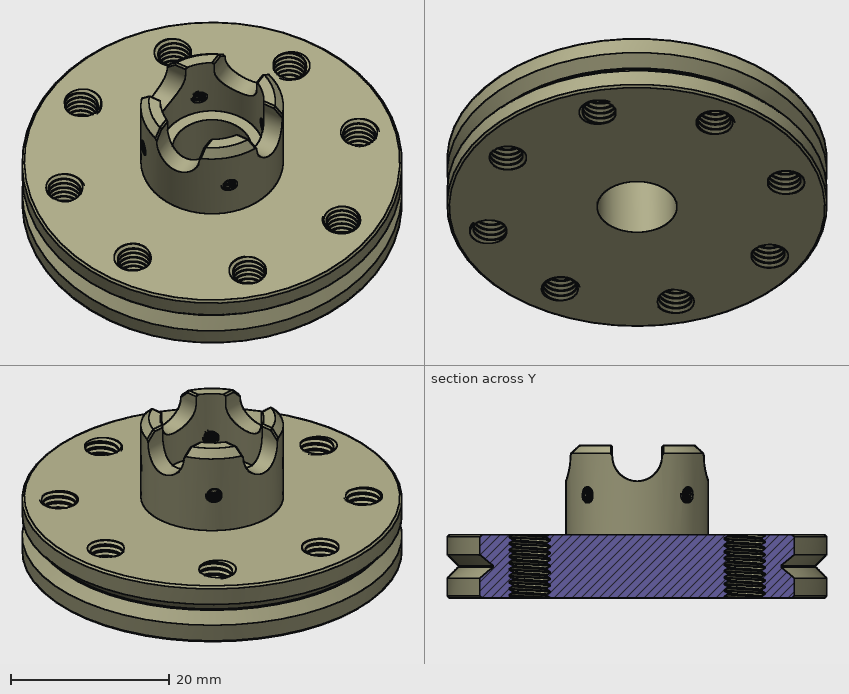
import cadquery as cq
import math

flange_diameter = 48.0
flange_thickness = 8.0
flange_edge_break = 0.3
groove_width = 3.0
groove_floor_width = 0.2
groove_depth = (groove_width - groove_floor_width) / 2

total_height = 19.3
hub_diameter = 18.0
rim_chamfer = 1.0
through_bore_diameter = 10.1
hub_bore_diameter = 13.1
hub_bore_floor = 10.25

notch_width = 6.25
notch_radius = notch_width / 2
notch_floor = 14.8
notch_chamfer = 0.25

flange_hole_circle_radius = 19.2
flange_minor_diameter = 4.2
flange_major_diameter = 5.15
flange_thread_pitch = 0.8
thread_start_angles = [285, 130, 0, 225, 80, 135, 195, 225]

screw_hole_height = 13.05
screw_hole_angles = (45, 135, 225, 315)
screw_minor_diameter = 1.65
screw_major_diameter = 2.05
screw_thread_pitch = 0.4

root_flat_ratio = 1 / 8
flank_half_angle = math.radians(30)
thread_overlap = 0.05


def make_tap(minor_diameter, major_diameter, pitch, length):
    """Threaded rod around Z, at least one turn longer than z = 0 to length at both ends.

    The thread root lies at +X at z = 0 and at every whole pitch above it.
    """
    turns = math.ceil(length / pitch) + 2
    inner_radius = minor_diameter / 2 - thread_overlap
    outer_radius = major_diameter / 2
    root_half_width = pitch * root_flat_ratio / 2
    mouth_half_width = root_half_width + (outer_radius - inner_radius) * math.tan(flank_half_angle)
    profile = (
        cq.Workplane("XZ")
        .polyline(
            [
                (inner_radius, -mouth_half_width),
                (outer_radius, -root_half_width),
                (outer_radius, root_half_width),
                (inner_radius, mouth_half_width),
            ]
        )
        .close()
    )
    helix = cq.Workplane(obj=cq.Wire.makeHelix(pitch, turns * pitch, inner_radius))
    thread = profile.sweep(helix, isFrenet=True)
    core = (
        cq.Workplane("XY")
        .workplane(offset=-pitch)
        .circle(minor_diameter / 2)
        .extrude((turns + 2) * pitch)
    )
    return core.union(thread).translate((0, 0, -pitch))


def make_flange():
    radius = flange_diameter / 2
    middle = flange_thickness / 2
    profile = (
        cq.Workplane("XZ")
        .moveTo(0, 0)
        .lineTo(radius - flange_edge_break, 0)
        .lineTo(radius, flange_edge_break)
        .lineTo(radius, middle - groove_width / 2)
        .lineTo(radius - groove_depth, middle - groove_floor_width / 2)
        .lineTo(radius - groove_depth, middle + groove_floor_width / 2)
        .lineTo(radius, middle + groove_width / 2)
        .lineTo(radius, flange_thickness - flange_edge_break)
        .lineTo(radius - flange_edge_break, flange_thickness)
        .lineTo(0, flange_thickness)
        .close()
    )
    return profile.revolve(360, (0, 0, 0), (0, 1, 0))


def make_notch_slot():
    """Round-bottomed slot along Y, through both sides of the hub."""
    centre = notch_floor + notch_radius
    return (
        cq.Workplane("XZ")
        .moveTo(-notch_radius, total_height)
        .lineTo(-notch_radius, centre)
        .threePointArc((0, notch_floor), (notch_radius, centre))
        .lineTo(notch_radius, total_height)
        .close()
        .extrude(hub_diameter / 2, both=True)
    )


def make_hub():
    hub = (
        cq.Workplane("XY")
        .circle(hub_diameter / 2)
        .extrude(total_height)
        .faces(">Z")
        .chamfer(rim_chamfer)
    )
    hub_bore = (
        cq.Workplane("XY")
        .workplane(offset=hub_bore_floor)
        .circle(hub_bore_diameter / 2)
        .extrude(total_height - hub_bore_floor)
    )
    hub = hub.cut(hub_bore)
    slot = make_notch_slot()
    hub = hub.cut(slot).cut(slot.rotate((0, 0, 0), (0, 0, 1), 90))
    rim_lines = hub.faces(">Z").edges("%LINE")
    rim_curves = hub.edges("%HYPERBOLA")
    return rim_lines.add(rim_curves).chamfer(notch_chamfer)


def cut_flange_holes(body):
    tap = make_tap(
        flange_minor_diameter, flange_major_diameter, flange_thread_pitch, flange_thickness
    )
    tap = tap.rotate((0, 0, 0), (1, 0, 0), 180).translate((0, 0, flange_thickness))
    angle_step = 360 / len(thread_start_angles)
    for index, start_angle in enumerate(thread_start_angles):
        direction = math.radians(index * angle_step)
        centre = (
            flange_hole_circle_radius * math.cos(direction),
            flange_hole_circle_radius * math.sin(direction),
            0,
        )
        body = body.cut(tap.rotate((0, 0, 0), (0, 0, 1), start_angle).translate(centre))
    return body


def cut_screw_holes(body):
    wall = (hub_diameter - hub_bore_diameter) / 2
    tap = make_tap(screw_minor_diameter, screw_major_diameter, screw_thread_pitch, wall)
    tap = tap.rotate((0, 0, 0), (0, 1, 0), 90)
    tap = tap.translate((hub_bore_diameter / 2, 0, screw_hole_height))
    for angle in screw_hole_angles:
        body = body.cut(tap.rotate((0, 0, 0), (0, 0, 1), angle))
    return body


through_bore = cq.Workplane("XY").circle(through_bore_diameter / 2).extrude(hub_bore_floor)
body = make_flange().union(make_hub()).cut(through_bore)
body = cut_screw_holes(body)
result = cut_flange_holes(body)